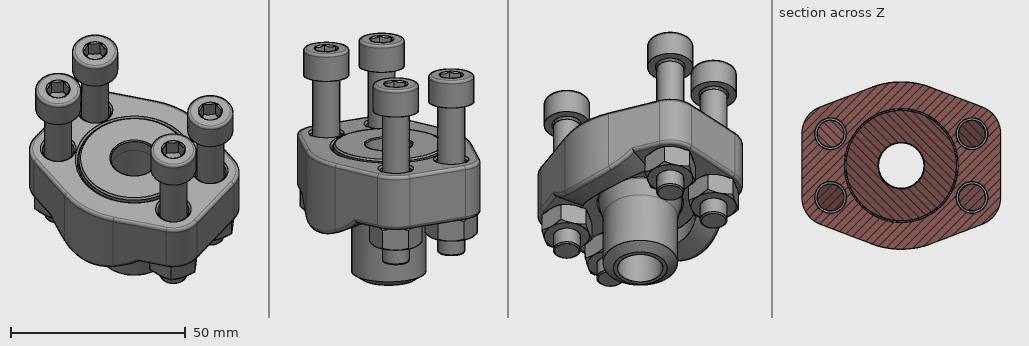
import cadquery as cq
import math


BOLT_X = 20.2
BOLT_Y = 9.1
BOLT_CENTRES = [(side_x * BOLT_X, side_y * BOLT_Y) for side_x in (-1, 1) for side_y in (-1, 1)]

FLANGE_HALF_LENGTH = 28.5
FLANGE_HALF_WIDTH = 23.95
FLANGE_THICKNESS = 16.0
FLANGE_ROUND = 1.0
CORNER_RADIUS = FLANGE_HALF_LENGTH - BOLT_X
BOLT_HOLE_DIAMETER = 9.0
BOLT_HOLE_CHAMFER = 0.6
SEAT_DIAMETER = 32.5
SEAT_DEPTH = 9.05
SEAT_CHAMFER = 0.6
NECK_HOLE_DIAMETER = 24.7

LOBE_RADIUS = 25.0
LOBE_DROP = 6.3
LOBE_DRAFT = 9.5
RECESS_DIAMETER = SEAT_DIAMETER

STUB_RISE = 0.65
STUB_HEAD_DIAMETER = 31.7
STUB_HEAD_CHAMFER = 0.5
NECK_DIAMETER = 23.8
NECK_BOTTOM = -16.15
NECK_TAPER_HEIGHT = 5.0
PIPE_DIAMETER = 21.3
STUB_BOTTOM = -39.35
BEVEL_HEIGHT = 1.95
BEVEL_END_DIAMETER = 15.4
BORE_TOP_DIAMETER = 13.3
BORE_BOTTOM_DIAMETER = 13.0
BORE_CHAMFER = 0.3
BORE_STRAIGHT_DEPTH = 4.0

BOLT_TOP = 25.25
HEAD_DIAMETER = 13.0
HEAD_HEIGHT = 8.0
HEAD_ROUND = 0.8
BOLT_DIAMETER = 7.75
BOLT_LENGTH = 45.0
BOLT_END_CHAMFER = 0.4
COLLAR_TOP_DIAMETER = 8.5
COLLAR_WAIST_DIAMETER = 8.0
COLLAR_STEP = 0.4
SOCKET_ACROSS_FLATS = 5.95
SOCKET_MOUTH_DIAMETER = 6.9
SOCKET_DEPTH = 4.5
SOCKET_TURN = 40
SOCKET_FLOOR_ANGLE = 30

NUT_ACROSS_FLATS = 13.0
NUT_HEIGHT = 6.5
NUT_FACE_DIAMETER = 12.9
NUT_CHAMFER_ANGLE = 30


def tan_deg(angle):
    return math.tan(math.radians(angle))


def across_corners(across_flats):
    """Distance across the corners of a hexagon."""
    return across_flats / math.cos(math.radians(30))


def turned(profile):
    """Solid of revolution about Z from (radius, z) points."""
    return cq.Workplane("XZ").polyline(profile).close().revolve(360, (0, 0, 0), (0, 1, 0))


def flange_outline(z):
    """Rim arcs about the axis, joined by tangent lines to corner arcs about the bolt centres."""
    lean = math.acos((FLANGE_HALF_WIDTH - CORNER_RADIUS) / math.hypot(BOLT_X, BOLT_Y))
    normal = math.atan2(BOLT_Y, BOLT_X) + lean
    rim_x = FLANGE_HALF_WIDTH * math.cos(normal)
    rim_y = FLANGE_HALF_WIDTH * math.sin(normal)
    corner_x = BOLT_X + CORNER_RADIUS * math.cos(normal)
    corner_y = BOLT_Y + CORNER_RADIUS * math.sin(normal)
    bend_x = BOLT_X + CORNER_RADIUS * math.cos(normal / 2)
    bend_y = BOLT_Y + CORNER_RADIUS * math.sin(normal / 2)
    return (
        cq.Workplane("XY")
        .workplane(offset=z)
        .moveTo(-rim_x, rim_y)
        .threePointArc((0, FLANGE_HALF_WIDTH), (rim_x, rim_y))
        .lineTo(corner_x, corner_y)
        .threePointArc((bend_x, bend_y), (FLANGE_HALF_LENGTH, BOLT_Y))
        .lineTo(FLANGE_HALF_LENGTH, -BOLT_Y)
        .threePointArc((bend_x, -bend_y), (corner_x, -corner_y))
        .lineTo(rim_x, -rim_y)
        .threePointArc((0, -FLANGE_HALF_WIDTH), (-rim_x, -rim_y))
        .lineTo(-corner_x, -corner_y)
        .threePointArc((-bend_x, -bend_y), (-FLANGE_HALF_LENGTH, -BOLT_Y))
        .lineTo(-FLANGE_HALF_LENGTH, BOLT_Y)
        .threePointArc((-bend_x, bend_y), (-corner_x, corner_y))
        .close()
    )


def lobe_cones():
    """Two cones along Y, joined at their narrow ends, which bound the lobes from below."""
    axis_z = LOBE_RADIUS - FLANGE_THICKNESS - LOBE_DROP
    waist_radius = LOBE_RADIUS - FLANGE_HALF_WIDTH * tan_deg(LOBE_DRAFT)
    end_y = 1.1 * FLANGE_HALF_WIDTH
    end_radius = waist_radius + end_y * tan_deg(LOBE_DRAFT)
    profile = [(0, -end_y), (end_radius, -end_y), (waist_radius, 0), (end_radius, end_y), (0, end_y)]
    cones = cq.Workplane("XY").polyline(profile).close().revolve(360, (0, 0, 0), (0, 1, 0))
    return cones.translate((0, 0, axis_z))


def flange_blank():
    """Plate with lobes, rounded along the top and bottom of its side wall."""
    plate = flange_outline(0).extrude(-FLANGE_THICKNESS)
    lobes = flange_outline(-FLANGE_THICKNESS).extrude(-2 * LOBE_DROP).intersect(lobe_cones())
    recess = (
        cq.Workplane("XY")
        .workplane(offset=-FLANGE_THICKNESS)
        .circle(RECESS_DIAMETER / 2)
        .extrude(-2 * LOBE_DROP)
    )
    blank = plate.union(lobes.cut(recess))

    def on_bottom_rim(edge):
        centre = edge.Center()
        below = centre.z < -FLANGE_THICKNESS + FLANGE_ROUND
        return below and math.hypot(centre.x, centre.y) > FLANGE_HALF_WIDTH - FLANGE_ROUND

    bottom_rim = [edge for edge in blank.edges().vals() if on_bottom_rim(edge)]
    blank = blank.newObject(bottom_rim).fillet(FLANGE_ROUND)
    return blank.faces(">Z").edges().fillet(FLANGE_ROUND)


def stub_hole():
    """Chamfered seat for the stub head, stepped down to a hole for its neck."""
    seat_radius = SEAT_DIAMETER / 2
    neck_radius = NECK_HOLE_DIAMETER / 2
    return turned([
        (0, 0),
        (seat_radius + SEAT_CHAMFER, 0),
        (seat_radius, -SEAT_CHAMFER),
        (seat_radius, -SEAT_DEPTH),
        (neck_radius, -SEAT_DEPTH),
        (neck_radius, -FLANGE_THICKNESS),
        (0, -FLANGE_THICKNESS),
    ])


def bolt_hole(x, y):
    """Through hole, chamfered at the top."""
    radius = BOLT_HOLE_DIAMETER / 2
    hole = turned([
        (0, 0),
        (radius + BOLT_HOLE_CHAMFER, 0),
        (radius, -BOLT_HOLE_CHAMFER),
        (radius, -FLANGE_THICKNESS),
        (0, -FLANGE_THICKNESS),
    ])
    return hole.translate((x, y, 0))


def make_flange():
    flange = flange_blank().cut(stub_hole())
    for x, y in BOLT_CENTRES:
        flange = flange.cut(bolt_hole(x, y))
    return flange


def make_stub():
    """Head, neck tapering to the pipe, and weld bevel, around a slightly tapered bore."""
    head_radius = STUB_HEAD_DIAMETER / 2
    neck_radius = NECK_DIAMETER / 2
    pipe_radius = PIPE_DIAMETER / 2
    bore_radius = BORE_TOP_DIAMETER / 2
    return turned([
        (bore_radius + BORE_CHAMFER, STUB_RISE),
        (head_radius - STUB_HEAD_CHAMFER, STUB_RISE),
        (head_radius, STUB_RISE - STUB_HEAD_CHAMFER),
        (head_radius, -SEAT_DEPTH),
        (neck_radius, -SEAT_DEPTH),
        (neck_radius, NECK_BOTTOM),
        (pipe_radius, NECK_BOTTOM - NECK_TAPER_HEIGHT),
        (pipe_radius, STUB_BOTTOM + BEVEL_HEIGHT),
        (BEVEL_END_DIAMETER / 2, STUB_BOTTOM),
        (BORE_BOTTOM_DIAMETER / 2, STUB_BOTTOM),
        (bore_radius, STUB_RISE - BORE_STRAIGHT_DEPTH),
        (bore_radius, STUB_RISE - BORE_CHAMFER),
    ])


def bolt_blank():
    """Bolt without its socket, with the top of the head at z = 0."""
    head_radius = HEAD_DIAMETER / 2
    shank_radius = BOLT_DIAMETER / 2
    end = -HEAD_HEIGHT - BOLT_LENGTH
    blank = turned([
        (0, 0),
        (head_radius, 0),
        (head_radius, -HEAD_HEIGHT),
        (COLLAR_TOP_DIAMETER / 2, -HEAD_HEIGHT),
        (COLLAR_WAIST_DIAMETER / 2, -HEAD_HEIGHT - COLLAR_STEP),
        (shank_radius, -HEAD_HEIGHT - 2 * COLLAR_STEP),
        (shank_radius, end + BOLT_END_CHAMFER),
        (shank_radius - BOLT_END_CHAMFER, end),
        (0, end),
    ])
    return blank.faces(">Z").edges().fillet(HEAD_ROUND)


def hex_socket():
    """Hexagonal socket with a conical floor and a chamfered mouth at z = 0."""
    corner_radius = across_corners(SOCKET_ACROSS_FLATS) / 2
    mouth_radius = SOCKET_MOUTH_DIAMETER / 2
    tip = -SOCKET_DEPTH - corner_radius * tan_deg(SOCKET_FLOOR_ANGLE)
    drilled = turned([(0, 0), (corner_radius, 0), (corner_radius, -SOCKET_DEPTH), (0, tip)])
    hexagon = cq.Workplane("XY").polygon(6, 2 * corner_radius).extrude(tip)
    hexagon = hexagon.rotate((0, 0, 0), (0, 0, 1), SOCKET_TURN)
    mouth = turned([(0, 0), (mouth_radius, 0), (0, -mouth_radius)])
    return hexagon.intersect(drilled).union(mouth)


def make_bolt(x, y):
    return bolt_blank().cut(hex_socket()).translate((x, y, BOLT_TOP))


def make_nut(x, y):
    """Hexagon nut under the flange, chamfered on both faces."""
    corner_radius = across_corners(NUT_ACROSS_FLATS) / 2
    face_radius = NUT_FACE_DIAMETER / 2
    chamfer = (corner_radius - face_radius) * tan_deg(NUT_CHAMFER_ANGLE)
    envelope = turned([
        (0, 0),
        (face_radius, 0),
        (corner_radius, -chamfer),
        (corner_radius, chamfer - NUT_HEIGHT),
        (face_radius, -NUT_HEIGHT),
        (0, -NUT_HEIGHT),
    ])
    hexagon = cq.Workplane("XY").polygon(6, 2 * corner_radius).extrude(-NUT_HEIGHT)
    bore = cq.Workplane("XY").circle(BOLT_DIAMETER / 2).extrude(-NUT_HEIGHT)
    return hexagon.intersect(envelope).cut(bore).translate((x, y, -FLANGE_THICKNESS))


flange = make_flange()
stub = make_stub()
bolts = [make_bolt(x, y).val() for x, y in BOLT_CENTRES]
nuts = [make_nut(x, y).val() for x, y in BOLT_CENTRES]

result = cq.Compound.makeCompound([flange.val(), stub.val(), *bolts, *nuts])